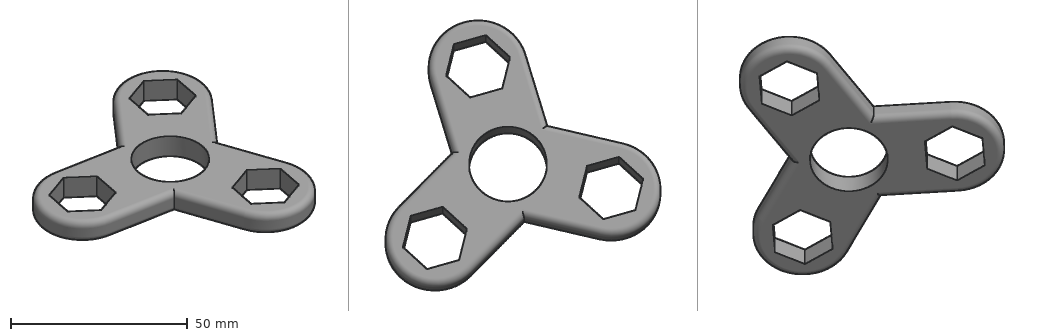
import cadquery as cq
import math

overall_width = 79.95
arm_count = 3
arm_length = 30.0
thickness = 7.0
edge_radius = 2.0
bore_diameter = 22.0
hex_across_flats = 16.3

arm_angle = 360 / arm_count
lobe_radius = overall_width / 2 - arm_length * math.sin(math.radians(arm_angle))
hex_across_corners = hex_across_flats / math.cos(math.radians(30))


def make_arm():
    """Straight arm along +X with a full-round end, starting at the body centre."""
    bar = cq.Workplane("XY").rect(arm_length, 2 * lobe_radius).extrude(thickness)
    bar = bar.translate((arm_length / 2, 0, 0))
    lobe = cq.Workplane("XY").center(arm_length, 0).circle(lobe_radius).extrude(thickness)
    return bar.union(lobe)


def make_hex_cutter():
    """Through hexagon at the lobe centre, with two flats square to the arm."""
    hexagon = cq.Workplane("XY").polygon(6, hex_across_corners).extrude(thickness)
    return hexagon.rotate((0, 0, 0), (0, 0, 1), 30).translate((arm_length, 0, 0))


def around_axis(shape, index):
    """Turn a shape about Z to the given arm position."""
    return shape.rotate((0, 0, 0), (0, 0, 1), index * arm_angle)


body = cq.Workplane("XY").circle(lobe_radius).extrude(thickness)
for i in range(arm_count):
    body = body.union(around_axis(make_arm(), i))
body = body.clean()

body = body.faces("<Z or >Z").edges().fillet(edge_radius)

body = body.cut(cq.Workplane("XY").circle(bore_diameter / 2).extrude(thickness))
for i in range(arm_count):
    body = body.cut(around_axis(make_hex_cutter(), i))

result = body